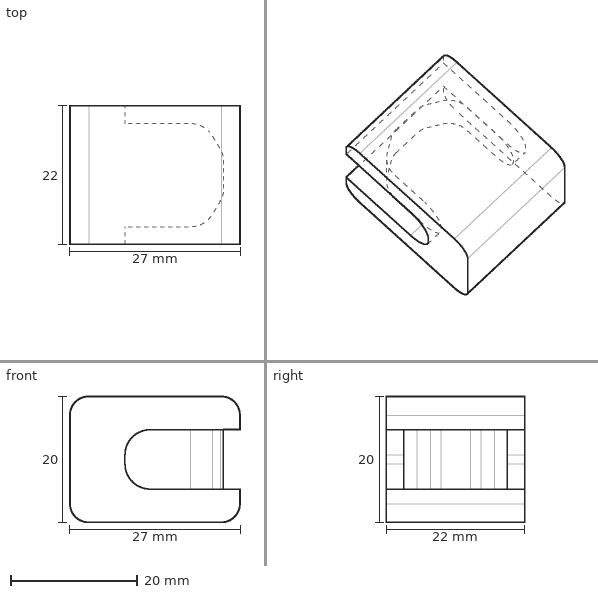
import cadquery as cq
import math

length = 27.0
width = 22.0
height = 20.0
corner_radius = 3.0

slot_height = 9.42
slot_end_x = 8.75
slot_end_radius = 4.0

web_recess = 2.8
shoulder_start_x = 19.05
shoulder_radius = 4.13
slope_angle = math.radians(59.5)
slope_run = 1.27
nose_radius = 3.25


def arc_point(center, radius, angle):
    """Point on an arc; the angle is turned from -Y toward +X."""
    return (center[0] + radius * math.sin(angle), center[1] - radius * math.cos(angle))


def make_block():
    block = cq.Workplane("XY").box(length, width, height, centered=(False, True, True))
    return block.edges("|Y").fillet(corner_radius)


def make_slot():
    slot = cq.Workplane("XY").box(
        length - slot_end_x, width, slot_height, centered=(False, True, True)
    )
    return slot.edges("|Y and <X").fillet(slot_end_radius).translate((slot_end_x, 0, 0))


def make_web():
    """Rounded wedge nose: shoulder arc, straight slope, nose arc, flat tip."""
    face_y = web_recess - width / 2
    shoulder_center = (shoulder_start_x, face_y + shoulder_radius)
    shoulder_middle = arc_point(shoulder_center, shoulder_radius, slope_angle / 2)
    shoulder_end = arc_point(shoulder_center, shoulder_radius, slope_angle)
    slope_end = (
        shoulder_end[0] + slope_run,
        shoulder_end[1] + slope_run * math.tan(slope_angle),
    )
    nose_center = (
        slope_end[0] - nose_radius * math.sin(slope_angle),
        slope_end[1] + nose_radius * math.cos(slope_angle),
    )
    tip_angle = math.pi / 2
    nose_middle = arc_point(nose_center, nose_radius, (slope_angle + tip_angle) / 2)
    nose_end = arc_point(nose_center, nose_radius, tip_angle)
    half_web = (
        cq.Workplane("XY")
        .moveTo(0, 0)
        .lineTo(0, face_y)
        .lineTo(shoulder_start_x, face_y)
        .threePointArc(shoulder_middle, shoulder_end)
        .lineTo(*slope_end)
        .threePointArc(nose_middle, nose_end)
        .lineTo(nose_end[0], 0)
        .close()
        .extrude(slot_height / 2, both=True)
    )
    return half_web.union(half_web.mirror("XZ"))


result = make_block().cut(make_slot().cut(make_web())).clean()